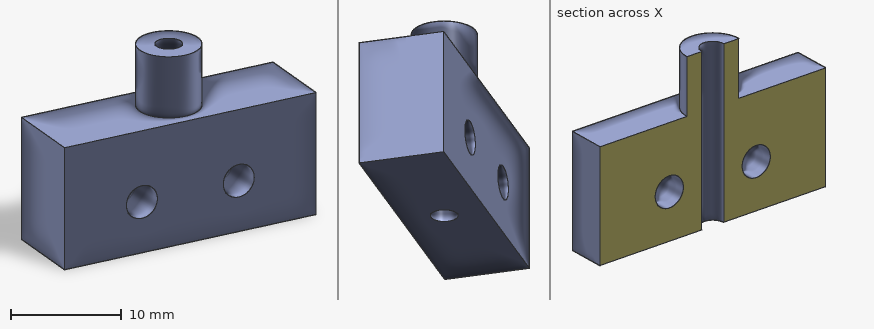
import cadquery as cq

block_width = 8.0
block_length = 26.0
total_height = 18.0

boss_diameter = 6.0
boss_height = 6.0
bore_diameter = 2.5

cross_hole_diameter = 3.2
cross_hole_spacing = 10.0
cross_hole_height = 5.0

block_height = total_height - boss_height

block = cq.Workplane("XY").box(block_width, block_length, block_height, centered=(True, True, False))

boss = (
    cq.Workplane("XY")
    .workplane(offset=block_height)
    .circle(boss_diameter / 2)
    .extrude(boss_height)
)

bore = cq.Workplane("XY").circle(bore_diameter / 2).extrude(total_height)

cross_holes = (
    cq.Workplane("YZ")
    .pushPoints([(side * cross_hole_spacing / 2, cross_hole_height) for side in (-1, 1)])
    .circle(cross_hole_diameter / 2)
    .extrude(block_width / 2, both=True)
)

result = block.union(boss).cut(bore).cut(cross_holes)